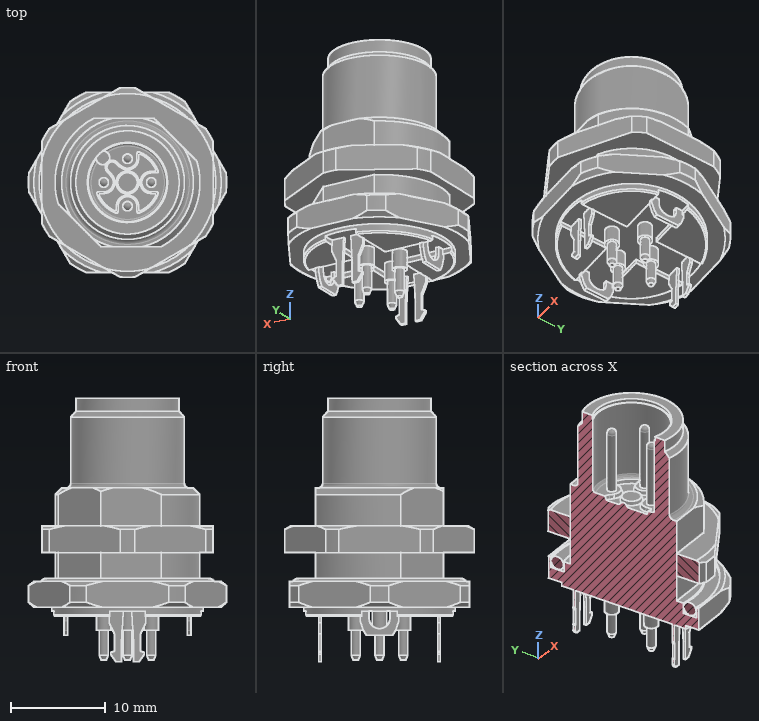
import cadquery as cq
import math


RIM_BOTTOM_Z = 4.78
SLOT_CEILING_Z = 5.35
FLANGE_BOTTOM_Z = 5.75
FLANGE_TOP_Z = 8.48
SHOULDER_Z = 18.32
COLLAR_BOTTOM_Z = 25.8
COLLAR_TOP_Z = 26.4
TOP_Z = 27.8

RIM_RADIUS = 8.0
RIM_CHAMFER = 0.17
THREAD_RADIUS = 7.65
THREAD_CHAMFER = 0.7
FLAT_DISTANCE = 6.75
FLAT_ANGLES = (45, 90, 225, 270)
BARREL_RADIUS = 6.0
BARREL_FILLET = 0.5
COLLAR_RADIUS = 5.45

FLANGE_FLATS = 19.02
FLANGE_CORNER_RADIUS = 10.45
FLANGE_BEVEL_INSET = 0.58
FLANGE_TOP_BEVEL = 0.45
FLANGE_BOTTOM_BEVEL = 0.53

NUT_FLATS = 18.07
NUT_CORNER_RADIUS = 10.0
NUT_BOTTOM_Z = 11.5
NUT_TOP_Z = 14.32
NUT_BEVEL_INSET = 0.65
NUT_BEVEL = 0.35

RING_INNER_RADIUS = 7.73
RING_SECTION = 1.58
RING_TOP_Z = 8.8
RING_MEAN_RADIUS = RING_INNER_RADIUS + RING_SECTION / 2
RING_CENTRE_Z = RING_TOP_Z - RING_SECTION / 2

SOCKET_RADIUS = 4.15
SOCKET_FLOOR_Z = 18.35
SOCKET_FLOOR_FILLET = 0.28
LIP_RADIUS = 4.23
LIP_Z = 27.35
KEY_RADIUS = 0.72
KEY_DISTANCE = 3.67
KEY_ANGLE = 135
RECESS_DEPTH = 0.45
RECESS_DRAFT = 0.17
RECESS_RADIUS = 3.45
RECESS_CORNER_FILLET = 0.17
RECESS_INNER_RADIUS = 1.85
FINGER_HALF_WIDTH = 0.72
FINGER_CENTRE_DISTANCE = 2.28
LOBE_RADIUS = 1.0
CENTRE_BOSS_RADIUS = 1.03

CONTACT_CIRCLE_RADIUS = 2.5
CONTACT_COUNT = 4
PIN_RADIUS = 0.5
PIN_TIP_Z = 25.8
TAIL_COLLAR_RADIUS = 0.78
TAIL_COLLAR_Z = 3.3
TAIL_CHAMFER_Z = 0.72
TAIL_END_Z = 0.2
TAIL_END_RADIUS = 0.28

SLOT_WIDTH = 3.78
PRONG_OUTER_FACE = 6.42
PRONG_THICKNESS = 0.3
LOOP_OUTER_FACE = 6.7
LOOP_THICKNESS = 0.42
LOOP_BOTTOM_Z = 2.78
LOOP_BOTTOM_HALF_WIDTH = 1.4
LOOP_HALF_WIDTH = 2.03
LOOP_WAIST_Z = 4.3
LOOP_BEND_Z = 3.34
LOOP_BEND_HALF_WIDTH = 1.72
LOOP_HOLE_RADIUS = 1.08
LOOP_HOLE_BOTTOM_Z = 3.5


def disc(radius, bottom, top):
    """Solid cylinder on the axis between two heights."""
    return cq.Workplane("XY").workplane(offset=bottom).circle(radius).extrude(top - bottom)


def cone(bottom_radius, top_radius, bottom, top):
    """Solid cone frustum on the axis between two heights."""
    return cq.Workplane(cq.Solid.makeCone(bottom_radius, top_radius, top - bottom, cq.Vector(0, 0, bottom)))


def around_axis(shape, angle):
    return shape.rotate((0, 0, 0), (0, 0, 1), angle)


def bevelled_hex(flats, corner_radius, bottom, top, inset, bottom_bevel, top_bevel):
    """Hex prism, corners on X, turned down to corner_radius with conical bevels."""
    prism = (
        cq.Workplane("XY").workplane(offset=bottom)
        .polygon(6, flats / math.cos(math.pi / 6)).extrude(top - bottom)
    )
    bevel_radius = corner_radius - inset
    profile = cq.Workplane("XZ").moveTo(0, bottom)
    if bottom_bevel:
        profile = profile.lineTo(bevel_radius, bottom).lineTo(corner_radius, bottom + bottom_bevel)
    else:
        profile = profile.lineTo(corner_radius, bottom)
    envelope = (
        profile.lineTo(corner_radius, top - top_bevel).lineTo(bevel_radius, top).lineTo(0, top)
        .close().revolve(360, (0, 0, 0), (0, 1, 0))
    )
    return prism.intersect(envelope)


def threaded_section():
    """Chamfered round section with four flats."""
    section = disc(THREAD_RADIUS, FLANGE_BOTTOM_Z, SHOULDER_Z).faces(">Z").chamfer(THREAD_CHAMFER)
    height = SHOULDER_Z - FLANGE_BOTTOM_Z
    for angle in FLAT_ANGLES:
        cutter = (
            cq.Workplane("XY")
            .box(THREAD_RADIUS, 2 * THREAD_RADIUS, height, centered=(False, True, False))
            .translate((FLAT_DISTANCE, 0, FLANGE_BOTTOM_Z))
        )
        section = section.cut(around_axis(cutter, angle))
    return section


def barrel():
    """Mating barrel with its root fillet and stepped collar."""
    root_radius = BARREL_RADIUS + BARREL_FILLET
    fillet_z = SHOULDER_Z + BARREL_FILLET
    arc_offset = BARREL_FILLET * (1 - math.cos(math.pi / 4))
    return (
        cq.Workplane("XZ").moveTo(0, SHOULDER_Z).lineTo(root_radius, SHOULDER_Z)
        .threePointArc((BARREL_RADIUS + arc_offset, SHOULDER_Z + arc_offset), (BARREL_RADIUS, fillet_z))
        .lineTo(BARREL_RADIUS, COLLAR_BOTTOM_Z).lineTo(COLLAR_RADIUS, COLLAR_TOP_Z)
        .lineTo(COLLAR_RADIUS, TOP_Z).lineTo(0, TOP_Z).close()
        .revolve(360, (0, 0, 0), (0, 1, 0))
    )


def rim():
    """Round rim under the flange, crossed by two slots."""
    body = disc(RIM_RADIUS, RIM_BOTTOM_Z, FLANGE_BOTTOM_Z).faces("<Z").chamfer(RIM_CHAMFER)
    slot = (
        cq.Workplane("XY").workplane(offset=RIM_BOTTOM_Z).rect(3 * RIM_RADIUS, SLOT_WIDTH)
        .extrude(SLOT_CEILING_Z - RIM_BOTTOM_Z)
    )
    return body.cut(slot).cut(around_axis(slot, 90))


def ring_groove():
    ring_outer = RING_INNER_RADIUS + RING_SECTION
    floor = RING_TOP_Z - RING_SECTION
    return disc(ring_outer, floor, FLANGE_TOP_Z).cut(disc(RING_INNER_RADIUS, floor, FLANGE_TOP_Z))


def socket():
    """Cavity of the barrel: bore with a rounded floor edge and a shallow wider lip."""
    bore = disc(SOCKET_RADIUS, SOCKET_FLOOR_Z, TOP_Z).faces("<Z").edges().fillet(SOCKET_FLOOR_FILLET)
    return bore.union(disc(LIP_RADIUS, LIP_Z, TOP_Z))


def key():
    """Round coding key standing against the socket wall."""
    post = (
        cq.Workplane("XY").workplane(offset=SOCKET_FLOOR_Z).center(-KEY_DISTANCE, 0)
        .circle(KEY_RADIUS).extrude(LIP_Z - SOCKET_FLOOR_Z)
    )
    post = around_axis(post, KEY_ANGLE - 180)
    return post.intersect(disc(LIP_RADIUS, SOCKET_FLOOR_Z, LIP_Z))


def is_outer_recess_corner(edge):
    """True for the sloping edges where a lobe meets the outer wall of the recess."""
    box = edge.BoundingBox()
    middle = edge.Center()
    is_sloping = box.zlen > RECESS_DEPTH / 2
    return is_sloping and math.hypot(middle.x, middle.y) > RECESS_RADIUS - 2 * RECESS_DRAFT


def floor_recess():
    """Drafted recess between the contacts, with a centre boss and a finger towards the key."""
    draft_angle = math.degrees(math.atan2(RECESS_DRAFT, RECESS_DEPTH))
    recess_z = SOCKET_FLOOR_Z - RECESS_DEPTH
    top_plane = cq.Workplane("XY").workplane(offset=SOCKET_FLOOR_Z)

    sector = cone(RECESS_RADIUS - RECESS_DRAFT, RECESS_RADIUS, recess_z, SOCKET_FLOOR_Z)
    key_quadrant = (
        cq.Workplane("XY").workplane(offset=recess_z)
        .rect(-RECESS_RADIUS, RECESS_RADIUS, centered=False).extrude(RECESS_DEPTH)
    )
    hub = disc(RECESS_INNER_RADIUS, recess_z, SOCKET_FLOOR_Z)
    finger = (
        top_plane.center(FINGER_CENTRE_DISTANCE / 2, 0)
        .slot2D(FINGER_CENTRE_DISTANCE + 2 * FINGER_HALF_WIDTH, 2 * FINGER_HALF_WIDTH)
        .extrude(-RECESS_DEPTH, taper=draft_angle)
    )
    recess = sector.cut(key_quadrant).union(hub).union(around_axis(finger, KEY_ANGLE))

    lobe_reach = SOCKET_RADIUS - CONTACT_CIRCLE_RADIUS
    lobe = (
        top_plane.center(CONTACT_CIRCLE_RADIUS + lobe_reach / 2, 0)
        .slot2D(lobe_reach + 2 * LOBE_RADIUS, 2 * LOBE_RADIUS)
        .extrude(-RECESS_DEPTH, taper=-draft_angle)
    )
    for index in range(CONTACT_COUNT):
        recess = recess.cut(around_axis(lobe, index * 360 / CONTACT_COUNT))
    outer_corners = [edge for edge in recess.edges().vals() if is_outer_recess_corner(edge)]
    recess = recess.newObject(outer_corners).fillet(RECESS_CORNER_FILLET)
    boss = cone(CENTRE_BOSS_RADIUS + RECESS_DRAFT, CENTRE_BOSS_RADIUS, recess_z, SOCKET_FLOOR_Z)
    return recess.cut(boss)


def contact():
    """Contact on the axis: domed pin in the socket, collared solder tail underneath."""
    dome_z = PIN_TIP_Z - PIN_RADIUS
    dome_x = PIN_RADIUS * math.cos(math.pi / 4)
    return (
        cq.Workplane("XZ").moveTo(0, TAIL_END_Z).lineTo(TAIL_END_RADIUS, TAIL_END_Z)
        .lineTo(PIN_RADIUS, TAIL_CHAMFER_Z).lineTo(PIN_RADIUS, TAIL_COLLAR_Z)
        .lineTo(TAIL_COLLAR_RADIUS, TAIL_COLLAR_Z).lineTo(TAIL_COLLAR_RADIUS, FLANGE_BOTTOM_Z)
        .lineTo(PIN_RADIUS, FLANGE_BOTTOM_Z).lineTo(PIN_RADIUS, dome_z)
        .threePointArc((dome_x, dome_z + dome_x), (0, PIN_TIP_Z)).close()
        .revolve(360, (0, 0, 0), (0, 1, 0))
    )


def prong_pair():
    """Two barbed snap prongs in a plate facing -Y."""
    outline = [
        (0.45, SLOT_CEILING_Z), (SLOT_WIDTH / 2, SLOT_CEILING_Z), (1.95, 4.73), (1.95, 4.15), (1.4, 2.95),
        (1.4, 1.15), (1.78, 1.0), (1.78, 0.78), (1.22, 0), (0.6, 0), (0.6, 2.22),
    ]
    plate = cq.Workplane("XZ", origin=(0, PRONG_THICKNESS - PRONG_OUTER_FACE, 0))
    prong = plate.polyline(outline).close().extrude(PRONG_THICKNESS)
    return prong.union(prong.mirror("YZ"))


def loop():
    """U-shaped loop in a plate facing -Y."""
    half_outline = [
        (SLOT_WIDTH / 2, SLOT_CEILING_Z), (LOOP_HALF_WIDTH, RIM_BOTTOM_Z), (LOOP_HALF_WIDTH, LOOP_WAIST_Z),
        (LOOP_BEND_HALF_WIDTH, LOOP_BEND_Z), (LOOP_BOTTOM_HALF_WIDTH, LOOP_BOTTOM_Z),
    ]
    outline = half_outline + [(-x, z) for x, z in reversed(half_outline)]
    hole_centre_z = LOOP_HOLE_BOTTOM_Z + LOOP_HOLE_RADIUS
    plane = cq.Workplane("XZ", origin=(0, LOOP_THICKNESS - LOOP_OUTER_FACE, 0))
    hole = (
        plane.moveTo(-LOOP_HOLE_RADIUS, SLOT_CEILING_Z).lineTo(-LOOP_HOLE_RADIUS, hole_centre_z)
        .threePointArc((0, LOOP_HOLE_BOTTOM_Z), (LOOP_HOLE_RADIUS, hole_centre_z))
        .lineTo(LOOP_HOLE_RADIUS, SLOT_CEILING_Z).close().extrude(LOOP_THICKNESS)
    )
    return plane.polyline(outline).close().extrude(LOOP_THICKNESS).cut(hole)


def make_housing():
    flange = bevelled_hex(
        FLANGE_FLATS, FLANGE_CORNER_RADIUS, FLANGE_BOTTOM_Z, FLANGE_TOP_Z,
        FLANGE_BEVEL_INSET, FLANGE_BOTTOM_BEVEL, FLANGE_TOP_BEVEL,
    )
    housing = flange.cut(ring_groove()).union(threaded_section()).union(barrel()).union(rim())
    housing = housing.cut(socket()).cut(floor_recess()).union(key())
    for index in range(CONTACT_COUNT):
        placed = contact().translate((CONTACT_CIRCLE_RADIUS, 0, 0))
        housing = housing.union(around_axis(placed, index * 360 / CONTACT_COUNT))
    for angle in (0, 180):
        housing = housing.union(around_axis(prong_pair(), angle))
        housing = housing.union(around_axis(loop(), angle + 90))
    return housing


def make_nut():
    """Hex nut with corners on Y; its hole fits the flatted thread."""
    blank = bevelled_hex(
        NUT_FLATS, NUT_CORNER_RADIUS, NUT_BOTTOM_Z, NUT_TOP_Z, NUT_BEVEL_INSET, 0, NUT_BEVEL,
    )
    return around_axis(blank, 90).cut(threaded_section())


def make_ring():
    return (
        cq.Workplane("XZ").center(RING_MEAN_RADIUS, RING_CENTRE_Z).circle(RING_SECTION / 2)
        .revolve(360, (-RING_MEAN_RADIUS, 0, 0), (-RING_MEAN_RADIUS, 1, 0))
    )


housing = make_housing()
nut = make_nut()
ring = make_ring()

result = cq.Compound.makeCompound([housing.solids().val(), nut.solids().val(), ring.val()])